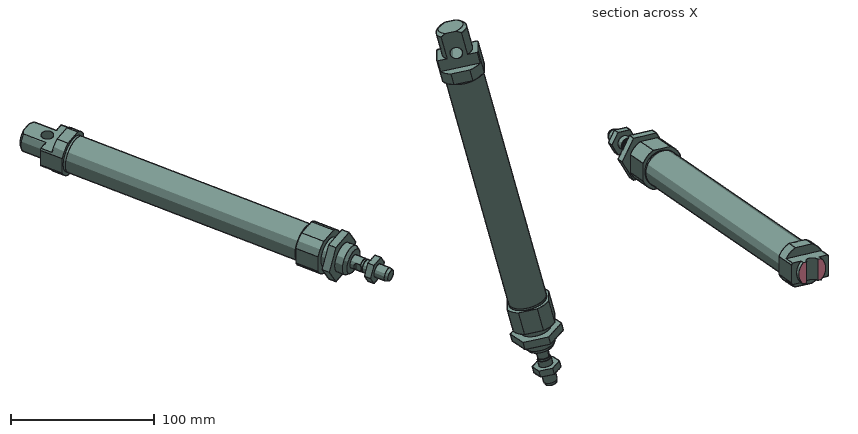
import cadquery as cq
import math


overall_length = 293.0
rear_body_start = 20.0
rear_shoulder = 28.7
rear_body_end = 37.5
tube_start = 39.3
tube_end = 223.9
front_body_start = 225.3
front_body_end = 243.2
big_nut_start = 248.5
neck_end = 263.0
flats_start = 267.2
undercut_start = 271.0
flats_end = 271.5
rod_thread_start = 272.8
rod_nut_start = 277.5

tube_diameter = 27.2
cap_diameter = 32.8
cap_across_flats = 30.0
neck_diameter = 22.0
neck_chamfer_length = 2.5
neck_chamfer_depth = 1.8

tongue_thickness = 16.5
tongue_chamfer = 2.0
pivot_hole_diameter = 8.8
pivot_hole_x = 17.0

rod_diameter = 10.0
rod_across_flats = 8.0
undercut_diameter = 8.8
rod_chamfer_length = 2.3
rod_chamfer_depth = 1.0

big_nut_across_flats = 32.0
big_nut_thickness = 6.0
rod_nut_across_flats = 17.0
rod_nut_thickness = 5.0


def turned(profile):
    """Revolve (x, radius) points about the X axis."""
    start = profile[0][0]
    end = profile[-1][0]
    outline = [(start, 0), *profile, (end, 0)]
    return cq.Workplane("XZ").polyline(outline).close().revolve(360, (0, 0), (1, 0))


def cylinder(start, end, diameter):
    """Plain round bar between two stations."""
    return turned([(start, diameter / 2), (end, diameter / 2)])


def bar(start, end, width, height):
    """Rectangular bar centred on the axis, with its width along Y and its height along Z."""
    return cq.Workplane("YZ", origin=(start, 0, 0)).rect(width, height).extrude(end - start)


def cap_body(start, end):
    """Round bar with four wrench flats facing +Y, -Y, +Z and -Z."""
    square = bar(start, end, cap_across_flats, cap_across_flats)
    return cylinder(start, end, cap_diameter).intersect(square)


def make_rear_cap():
    tongue_radius = neck_diameter / 2
    tongue = turned([
        (0, tongue_radius - tongue_chamfer),
        (tongue_chamfer, tongue_radius),
        (rear_body_end, tongue_radius),
    ])
    cap = tongue.union(cap_body(rear_body_start, rear_body_end))

    slab = bar(0, rear_shoulder, cap_diameter, tongue_thickness)
    rest = bar(rear_shoulder, rear_body_end, cap_diameter, cap_diameter)
    cap = cap.intersect(slab.union(rest))

    collar = cylinder(rear_body_end, tube_start, tube_diameter)
    pivot_hole = (
        cq.Workplane("XY")
        .center(pivot_hole_x, 0)
        .circle(pivot_hole_diameter / 2)
        .extrude(tongue_thickness, both=True)
    )
    return cap.union(collar).cut(pivot_hole)


def make_tube():
    return cylinder(tube_start, tube_end, tube_diameter)


def make_front_cap():
    neck_radius = neck_diameter / 2
    neck = turned([
        (front_body_start, neck_radius),
        (neck_end - neck_chamfer_length, neck_radius),
        (neck_end, neck_radius - neck_chamfer_depth),
    ])
    collar = cylinder(tube_end, front_body_start, tube_diameter)
    return collar.union(cap_body(front_body_start, front_body_end)).union(neck)


def make_rod():
    rod_radius = rod_diameter / 2
    undercut_radius = undercut_diameter / 2
    rod = turned([
        (neck_end, rod_radius),
        (undercut_start, rod_radius),
        (undercut_start, undercut_radius),
        (rod_thread_start, undercut_radius),
        (rod_thread_start, rod_radius),
        (overall_length - rod_chamfer_length, rod_radius),
        (overall_length, rod_radius - rod_chamfer_depth),
    ])

    flat_distance = rod_across_flats / 2
    run_out = rod_radius - flat_distance
    for side in (1, -1):
        recess = (
            cq.Workplane("XY")
            .polyline([
                (flats_start, side * flat_distance),
                (flats_end, side * flat_distance),
                (flats_end + run_out, side * rod_radius),
                (flats_start - run_out, side * rod_radius),
            ])
            .close()
            .extrude(rod_radius, both=True)
        )
        rod = rod.cut(recess)
    return rod


def make_nut(start, thickness, across_flats, bore_diameter):
    """Hexagon nut with flats facing +Z and -Z and corners on the Y axis."""
    across_corners = across_flats / math.cos(math.radians(30))
    hexagon = cq.Workplane("YZ", origin=(start, 0, 0)).polygon(6, across_corners).extrude(thickness)
    return hexagon.cut(cylinder(start, start + thickness, bore_diameter))


rear_cap = make_rear_cap()
tube = make_tube()
front_cap = make_front_cap()
rod = make_rod()
big_nut = make_nut(big_nut_start, big_nut_thickness, big_nut_across_flats, neck_diameter)
rod_nut = make_nut(rod_nut_start, rod_nut_thickness, rod_nut_across_flats, rod_diameter)

result = cq.Compound.makeCompound([
    rear_cap.val(),
    tube.val(),
    front_cap.val(),
    rod.val(),
    big_nut.val(),
    rod_nut.val(),
])